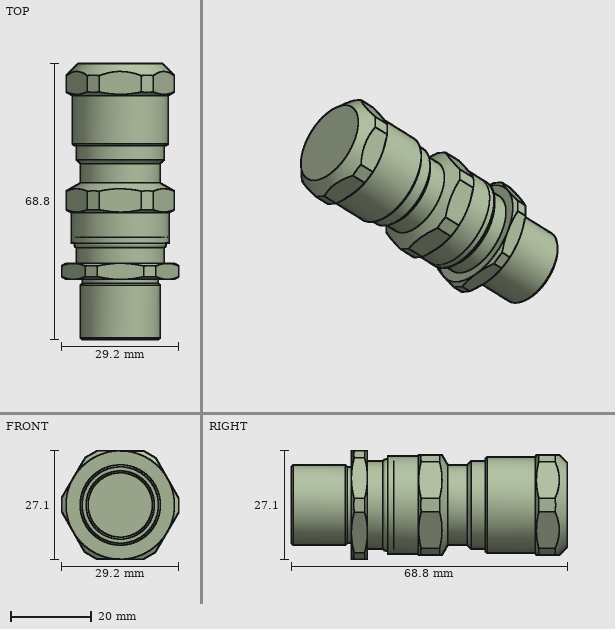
import cadquery as cq
import math


spigot_diameter = 20.0
bore_diameter = 16.0
bore_depth = 24.0
edge_chamfer = 0.5
spigot_length = 14.0
relieved_diameter = spigot_diameter - 2 * edge_chamfer

flange_flats = 27.0
flange_corner_width = 29.18
flange_turn = 0.4
nut_flats = 25.0
nut_corner_width = 26.9
hex_half_angle = math.radians(30)
hex_chamfer_angle = math.radians(30)

flange_start = 15.0
flange_end = 19.0

body_diameter = 22.0
seal_diameter = 22.9
seal_cord_diameter = 2.0
seal_center = 23.7

middle_sleeve_diameter = 24.5
middle_sleeve_start = 24.0
sleeve_recess_diameter = 24.0
sleeve_recess_depth = 1.5
middle_nut_start = 31.6
middle_nut_end = 39.0
neck_diameter = 20.0

collar_chamfer = 1.0
collar_start = 43.8

cap_sleeve_diameter = 24.0
cap_sleeve_start = 48.25
cap_nut_start = 60.75
cap_end_diameter = 21.0
total_length = 68.75


def turned(points):
    """Solid of revolution about Y from (diameter, Y) points, closed along the axis."""
    profile = [(0, points[0][1])]
    profile += [(diameter / 2, y) for diameter, y in points]
    profile.append((0, points[-1][1]))
    return cq.Workplane("XY").polyline(profile).close().revolve(360, (0, 0, 0), (0, 1, 0))


def cone_height(small_diameter, large_diameter):
    """Axial length of a 30 degree hexagon chamfer between two diameters."""
    return (large_diameter - small_diameter) / 2 * math.tan(hex_chamfer_angle)


def hexagon(flats, start, end):
    """Hexagonal prism along Y with corners on +X and -X and flats on +Z and -Z."""
    corners = flats / math.cos(hex_half_angle)
    plane = cq.Workplane("XZ", origin=(0, start, 0))
    return plane.polygon(6, corners).extrude(start - end)


def trimmed_hexagon(flats, corner_width, start, end):
    """Hexagonal prism whose six corners are cut off by planes corner_width apart."""
    trim = hexagon(corner_width, start, end).rotate((0, 0, 0), (0, 1, 0), math.degrees(hex_half_angle))
    return hexagon(flats, start, end).intersect(trim)


def largest_diameter(flats, corner_width):
    """Diameter over the twelve edges of a trimmed hexagon."""
    edge_offset = (flats - corner_width * math.cos(hex_half_angle)) / math.sin(hex_half_angle)
    return math.hypot(corner_width, edge_offset)


def make_spigot():
    return turned([
        (relieved_diameter, 0),
        (spigot_diameter, edge_chamfer),
        (spigot_diameter, spigot_length - edge_chamfer),
        (relieved_diameter, spigot_length),
        (relieved_diameter, flange_start),
    ])


def make_flange():
    outer_diameter = largest_diameter(flange_flats, flange_corner_width)
    chamfer = cone_height(flange_flats, outer_diameter)
    blank = turned([
        (flange_flats, flange_start),
        (outer_diameter, flange_start + chamfer),
        (outer_diameter, flange_end - chamfer),
        (flange_flats, flange_end),
    ])
    prism = trimmed_hexagon(flange_flats, flange_corner_width, flange_start, flange_end)
    prism = prism.rotate((0, 0, 0), (0, 1, 0), flange_turn)
    return blank.intersect(prism)


def make_body():
    body_end = middle_sleeve_start + sleeve_recess_depth
    return turned([(body_diameter, flange_end), (body_diameter, body_end)])


def make_seal():
    """O-ring partly sunk into the body and half hidden in the sleeve recess.

    The cord circle lies on -X, so that its seam faces the axis.
    """
    cord_radius = seal_cord_diameter / 2
    cord_center = cord_radius - seal_diameter / 2
    cord = cq.Workplane("XY").center(cord_center, seal_center).circle(cord_radius)
    return cord.revolve(360, (-cord_center, 0, 0), (-cord_center, 1, 0))


def make_middle_nut():
    outer_diameter = largest_diameter(nut_flats, nut_corner_width)
    sleeve = turned([
        (middle_sleeve_diameter, middle_sleeve_start),
        (middle_sleeve_diameter, middle_nut_start),
    ])
    blank = turned([
        (middle_sleeve_diameter, middle_nut_start),
        (outer_diameter, middle_nut_start + cone_height(middle_sleeve_diameter, outer_diameter)),
        (outer_diameter, middle_nut_end - cone_height(neck_diameter, outer_diameter)),
        (neck_diameter, middle_nut_end),
    ])
    recess = turned([
        (sleeve_recess_diameter, middle_sleeve_start),
        (sleeve_recess_diameter, middle_sleeve_start + sleeve_recess_depth),
    ])
    sleeve = sleeve.cut(recess)
    prism = trimmed_hexagon(nut_flats, nut_corner_width, middle_nut_start, middle_nut_end)
    return sleeve.union(blank.intersect(prism))


def make_neck():
    return turned([
        (neck_diameter, middle_nut_end),
        (neck_diameter, collar_start),
        (neck_diameter + 2 * collar_chamfer, collar_start + collar_chamfer),
        (neck_diameter + 2 * collar_chamfer, cap_sleeve_start),
    ])


def make_cap_nut():
    outer_diameter = largest_diameter(nut_flats, nut_corner_width)
    sleeve = turned([
        (cap_sleeve_diameter - 2 * edge_chamfer, cap_sleeve_start),
        (cap_sleeve_diameter, cap_sleeve_start + edge_chamfer),
        (cap_sleeve_diameter, cap_nut_start),
    ])
    end_chamfer = (outer_diameter - cap_end_diameter) / 2
    blank = turned([
        (cap_sleeve_diameter, cap_nut_start),
        (outer_diameter, cap_nut_start + cone_height(cap_sleeve_diameter, outer_diameter)),
        (outer_diameter, total_length - end_chamfer),
        (cap_end_diameter, total_length),
    ])
    prism = trimmed_hexagon(nut_flats, nut_corner_width, cap_nut_start, total_length)
    return sleeve.union(blank.intersect(prism))


def make_bore():
    return turned([
        (bore_diameter + 2 * edge_chamfer, 0),
        (bore_diameter, edge_chamfer),
        (bore_diameter, bore_depth),
    ])


gland = make_spigot()
for make_section in (make_flange, make_body, make_seal, make_middle_nut, make_neck, make_cap_nut):
    gland = gland.union(make_section())

result = gland.cut(make_bore())